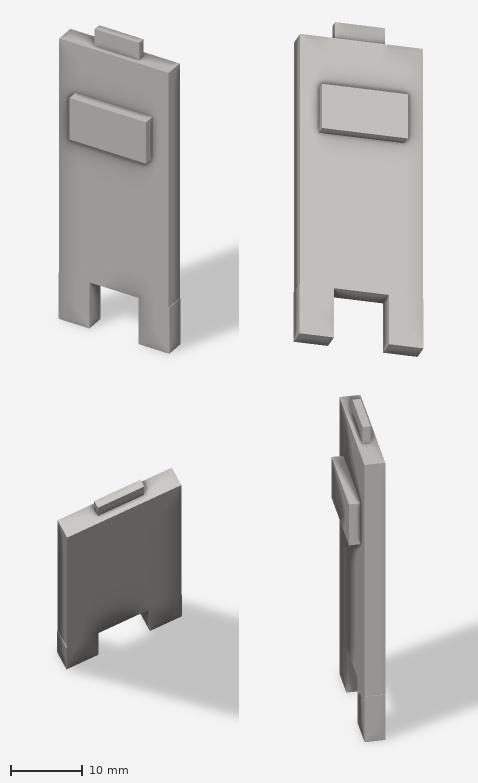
import cadquery as cq

total_height = 49.1
total_width = 18.15
total_depth = 4.65

thickness = 3.0
leg_height = 7.6
leg_gap = 8.05
leg_overhang = 0.1
body_width = total_width - 2 * leg_overhang
leg_width = (total_width - leg_gap) / 2

tab_width = 7.25
tab_height = 2.85
tab_thickness = 1.2
tab_back_inset = 1.05
body_top = total_height - tab_height

pad_width = 12.55
pad_height = 6.8
pad_bottom = 31.3
pad_depth = total_depth - thickness


def block(width, depth, height, x_center, y_front, z_bottom):
    """Box centred on x_center, reaching back from y_front and up from z_bottom."""
    return (
        cq.Workplane("XY")
        .box(width, depth, height, centered=(True, False, False))
        .translate((x_center, y_front, z_bottom))
    )


body = block(body_width, thickness, body_top - leg_height, 0, 0, leg_height)

leg_offset = (leg_gap + leg_width) / 2
for side in (-1, 1):
    body = body.union(block(leg_width, thickness, leg_height, side * leg_offset, 0, 0))

tab_front = thickness - tab_back_inset - tab_thickness
tab = block(tab_width, tab_thickness, tab_height, 0, tab_front, body_top)

pad = block(pad_width, pad_depth, pad_height, 0, -pad_depth, pad_bottom)

result = body.union(tab).union(pad)